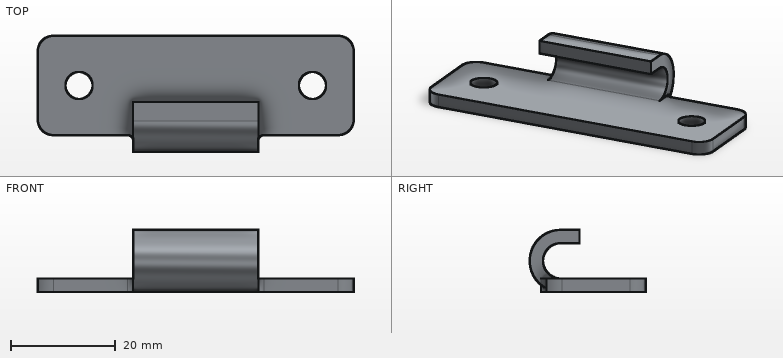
import cadquery as cq

plate_length = 60.3
plate_depth = 19.0
thickness = 2.6
corner_radius = 3.0
hole_diameter = 5.1
hole_spacing = 44.5

overall_depth = 22.2
overall_height = 11.9
hook_width = 23.9
hook_lip = 3.6
root_radius = 1.0

outer_radius = overall_height / 2
inner_radius = outer_radius - thickness
plate_front = -plate_depth / 2
hook_front = plate_depth / 2 - overall_depth
roll_y = hook_front + outer_radius
roll_z = outer_radius


def make_plate():
    """Rounded plate with two holes, cut away at the front where the hook takes over."""
    plate = (
        cq.Workplane("XY")
        .rect(plate_length, plate_depth)
        .extrude(thickness)
        .edges("|Z")
        .fillet(corner_radius)
        .faces(">Z")
        .workplane()
        .pushPoints([(-hole_spacing / 2, 0), (hole_spacing / 2, 0)])
        .hole(hole_diameter)
    )
    notch = (
        cq.Workplane("XY")
        .center(0, (plate_front + roll_y) / 2)
        .rect(hook_width, roll_y - plate_front)
        .extrude(thickness)
    )
    return plate.cut(notch)


def make_hook():
    """Half-round strip rising from the plate and turning back over it."""
    lip_end = roll_y + hook_lip
    root_end = roll_y + thickness
    return (
        cq.Workplane("YZ", origin=(-hook_width / 2, 0, 0))
        .moveTo(root_end, 0)
        .lineTo(roll_y, 0)
        .threePointArc((hook_front, roll_z), (roll_y, overall_height))
        .lineTo(lip_end, overall_height)
        .lineTo(lip_end, overall_height - thickness)
        .lineTo(roll_y, overall_height - thickness)
        .threePointArc((roll_y - inner_radius, roll_z), (roll_y, thickness))
        .lineTo(root_end, thickness)
        .close()
        .extrude(hook_width)
    )


def make_root_fillet(side):
    """Concave corner piece beside the hook; side is -1 or +1 along X."""
    hook_side = side * hook_width / 2
    center_x = hook_side + side * root_radius
    center_y = plate_front - root_radius
    diagonal = root_radius * 0.5**0.5
    return (
        cq.Workplane("XY")
        .moveTo(hook_side, plate_front)
        .lineTo(center_x, plate_front)
        .threePointArc((center_x - side * diagonal, center_y + diagonal), (hook_side, center_y))
        .close()
        .extrude(thickness)
    )


result = make_plate().union(make_hook())
for side in (-1, 1):
    result = result.union(make_root_fillet(side))